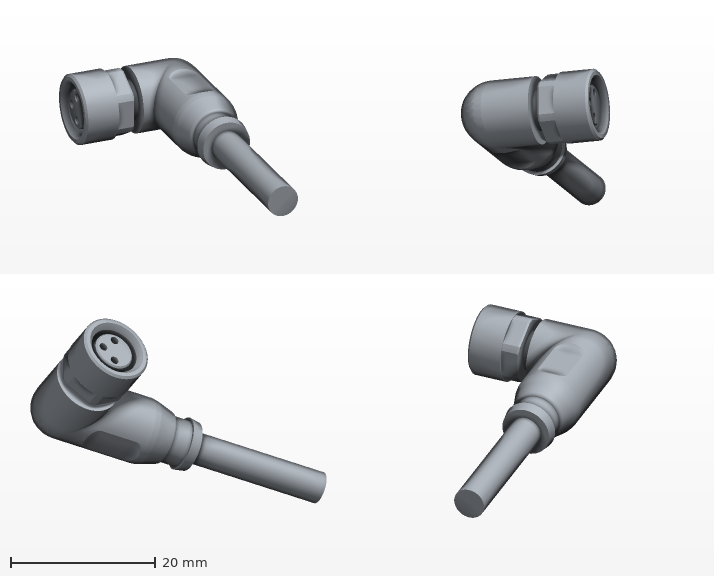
import cadquery as cq
import math


body_radius = 4.75
body_mouth_y = -6.25
body_straight_end_x = 11.53
corner_contact = 0.65
grip_flat_z = 4.23
grip_flat_start_x = 4.4
grip_flat_end_x = 9.7
grip_runout = 1.45

taper_angle = math.radians(17.5)
taper_blend_length = 0.95
taper_end_x = 15.0
tail_end_x = 15.45
sleeve_radius = 3.35
collar_start_x = 17.95
collar_end_x = 19.45
collar_large_radius = 3.8
collar_small_radius = 3.5
cable_radius = 4.5 / 2

nut_radius = 10.0 / 2
overall_width = 19.75
nut_face_y = body_radius - overall_width
nut_shoulder_y = -10.0
nut_back_y = -7.48
nut_chamfer = 0.3
hex_across_flats = 9.0
hex_corner_diameter = 9.85
hex_chamfer_length = 0.25
hex_chamfer_depth = 0.15
neck_diameter = 5.8
bore_diameter = 7.0
bore_mouth_diameter = 8.28
bore_mouth_depth = 0.8
bore_floor_y = nut_shoulder_y
insert_diameter = 5.7
insert_chamfer = 0.22
insert_recess = 0.65
contact_diameter = 1.2
contact_offset = 1.75
contact_depth = 2.65

overall_length = 44.5
cable_end_x = overall_length - nut_radius
insert_face_y = nut_face_y + insert_recess


def y_cylinder(diameter, start_y, end_y, x=0, z=0):
    """Cylinder along -Y from start_y down to end_y."""
    plane = cq.Workplane("XZ", origin=(x, start_y, z))
    return plane.circle(diameter / 2).extrude(start_y - end_y)


def make_elbow():
    """Two equal arms joined by an ellipsoidal corner tangent to both."""
    reach = 2 * body_radius
    slant = reach * corner_contact / body_radius
    cable_side = (
        cq.Workplane("XY")
        .polyline([(-slant, reach), (slant, -reach), (3 * reach, -reach), (3 * reach, reach)])
        .close()
        .extrude(reach, both=True)
    )
    nut_side = (
        cq.Workplane("XY")
        .polyline([(-reach, slant), (reach, -slant), (reach, -2 * reach), (-reach, -2 * reach)])
        .close()
        .extrude(reach, both=True)
    )
    cable_arm = (
        cq.Workplane("YZ", origin=(-body_radius, 0, 0))
        .circle(body_radius)
        .extrude(body_straight_end_x + body_radius)
        .intersect(cable_side)
    )
    nut_arm = y_cylinder(2 * body_radius, body_radius, body_mouth_y).intersect(nut_side)

    long_axis = math.sqrt(body_radius**2 + corner_contact * body_radius)
    short_axis = math.sqrt(body_radius**2 - corner_contact * body_radius)
    stretch = cq.Matrix([
        [long_axis / body_radius, 0, 0, 0],
        [0, short_axis / body_radius, 0, 0],
        [0, 0, 1, 0],
    ])
    ball = cq.Workplane("XY").sphere(body_radius).val().transformGeometry(stretch)
    corner = cq.Workplane("XY").add(ball).rotate((0, 0, 0), (0, 0, 1), 135)
    corner_box = cq.Workplane("XY").polyline(
        [(0, 0), (-slant, reach), (-reach, reach), (-reach, slant)]
    ).close().extrude(reach, both=True)
    return cable_arm.union(nut_arm).union(corner.intersect(corner_box))


def grip_cutter():
    """Flat cut across the top of the cable arm, curving out tangentially at both ends."""
    depth = body_radius - grip_flat_z
    runout_radius = (grip_runout**2 + depth**2) / (2 * depth)
    half_angle = math.asin(grip_runout / runout_radius) / 2
    mid_x = runout_radius * math.sin(half_angle)
    mid_z = grip_flat_z + runout_radius * (1 - math.cos(half_angle))
    return (
        cq.Workplane("XZ")
        .moveTo(grip_flat_start_x, grip_flat_z)
        .lineTo(grip_flat_end_x, grip_flat_z)
        .threePointArc((grip_flat_end_x + mid_x, mid_z), (grip_flat_end_x + grip_runout, body_radius))
        .lineTo(grip_flat_start_x - grip_runout, body_radius)
        .threePointArc((grip_flat_start_x - mid_x, mid_z), (grip_flat_start_x, grip_flat_z))
        .close()
        .extrude(body_radius, both=True)
    )


def make_tail():
    """Turned tail, sleeve, collar and cable as one revolved profile about X."""
    blend_radius = taper_blend_length / math.sin(taper_angle)
    blend_end_x = body_straight_end_x + taper_blend_length
    blend_end_radius = body_radius - blend_radius * (1 - math.cos(taper_angle))
    blend_mid = (
        body_straight_end_x + blend_radius * math.sin(taper_angle / 2),
        body_radius - blend_radius * (1 - math.cos(taper_angle / 2)),
    )
    taper_end_radius = blend_end_radius - (taper_end_x - blend_end_x) * math.tan(taper_angle)
    return (
        cq.Workplane("XY")
        .moveTo(body_straight_end_x, 0)
        .lineTo(body_straight_end_x, body_radius)
        .threePointArc(blend_mid, (blend_end_x, blend_end_radius))
        .lineTo(taper_end_x, taper_end_radius)
        .tangentArcPoint((tail_end_x, sleeve_radius), relative=False)
        .lineTo(collar_start_x, sleeve_radius)
        .lineTo(collar_start_x, collar_large_radius)
        .lineTo(collar_end_x, collar_small_radius)
        .lineTo(collar_end_x, cable_radius)
        .lineTo(cable_end_x, cable_radius)
        .lineTo(cable_end_x, 0)
        .close()
        .revolve(360, (0, 0, 0), (1, 0, 0))
    )


def make_nut():
    """Round coupling nut with a hexagonal back and a flared front bore."""
    ring = y_cylinder(2 * nut_radius, nut_shoulder_y, nut_face_y).faces("<Y").chamfer(nut_chamfer)
    hex_prism = (
        cq.Workplane("XZ", origin=(0, nut_back_y, 0))
        .polygon(6, hex_across_flats / math.cos(math.pi / 6))
        .extrude(nut_back_y - nut_shoulder_y)
        .rotate((0, 0, 0), (0, 1, 0), 30)
    )
    hex_envelope = y_cylinder(hex_corner_diameter, nut_back_y, nut_shoulder_y)
    hex_back = hex_prism.intersect(hex_envelope)
    hex_back = hex_back.faces(">Y").chamfer(hex_chamfer_depth, hex_chamfer_length)
    bore = y_cylinder(bore_diameter, bore_floor_y, nut_face_y)
    flare = (
        cq.Workplane("XZ", origin=(0, nut_face_y + bore_mouth_depth, 0))
        .circle(bore_diameter / 2)
        .workplane(offset=bore_mouth_depth)
        .circle(bore_mouth_diameter / 2)
        .loft()
    )
    return ring.union(hex_back).cut(bore).cut(flare)


def make_insert():
    """Contact carrier inside the nut, with three sockets."""
    insert = y_cylinder(insert_diameter, bore_floor_y, insert_face_y).faces("<Y").chamfer(insert_chamfer)
    for angle in (90, 180, 270):
        x = contact_offset * math.cos(math.radians(angle))
        z = contact_offset * math.sin(math.radians(angle))
        socket = y_cylinder(contact_diameter, insert_face_y + contact_depth, insert_face_y, x, z)
        insert = insert.cut(socket)
    return insert


grip = grip_cutter()
elbow = make_elbow().cut(grip).cut(grip.mirror("XY"))
neck = y_cylinder(neck_diameter, body_mouth_y, nut_back_y)
result = elbow.union(make_tail()).union(neck).union(make_nut()).union(make_insert())